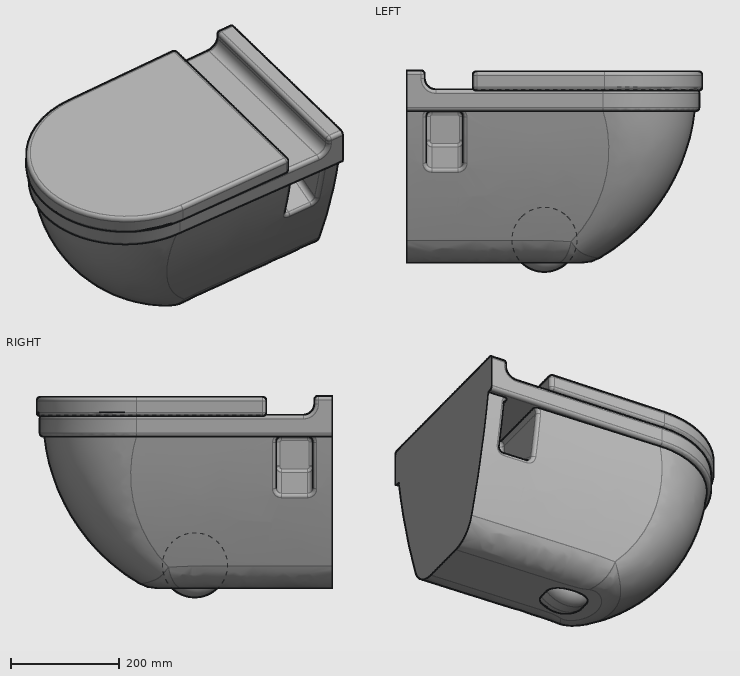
import cadquery as cq
import math


SOFT_EDGE = 7.5
CLEARANCE = 1.0
OVERALL_HEIGHT = 372.23
OVERALL_WIDTH = 373.23
OVERALL_LENGTH = 545.89

SIDE_PROFILE = ((43.4, 107.3), (146.4, 139.9), (270.0, 168.0))
TIP_PROFILE = ((43.4, 405.0), (146.4, 489.5), (270.0, 530.5))
NOSE_START_PROFILE = ((39.0, 302.5), (155.0, 366.5), (278.5, 362.5))
BODY_SECTIONS = 7
UNDERSIDE_ROUND = 63.0

RIM_BOTTOM = 279.0
RIM_TOP = 320.3
RIM_BACK_HALF = 183.0
RIM_NOSE_RADIUS = 178.3
RIM_TIP = 540.3
RIDGE_TOP = 355.0
RIDGE_DEPTH = 33.8
RIDGE_COVE = 20.0

POCKET_NEAR = 36.5
POCKET_FAR = 104.0
POCKET_ROOF = RIM_BOTTOM + 1.0
POCKET_MOUTH_HALF = 200.0
POCKET_INNER_HALF = 36.0
POCKET_INNER_FLOOR = 216.0
POCKET_FLOOR_ANGLE = 21.0
POCKET_CORNER = 10.0
POCKET_BACK_ROUND = 7.0
POCKET_MOUTH_ROUND = 7.0

TRAP_DIAMETER = 120.0
TRAP_BAND = 20.0
TRAP_SHOULDER = 55.0 / 2
TRAP_DISTANCE = 254.0
TRAP_DROP = OVERALL_HEIGHT - RIDGE_TOP

LID_HALF = OVERALL_WIDTH / 2
LID_CORNER_TRIM = 0.13
LID_NOSE_RADIUS = 184.5
LID_BACK = 121.7
LID_TIP = OVERALL_LENGTH
LID_BOTTOM = 317.0
LID_TOP = 353.3


def arc_value(profile, height):
    """Distance at a height on the circle through three (height, distance) points."""
    (z1, d1), (z2, d2), (z3, d3) = profile
    s1, s2, s3 = z1**2 + d1**2, z2**2 + d2**2, z3**2 + d3**2
    twice_area = 2 * (z1 * (d2 - d3) + z2 * (d3 - d1) + z3 * (d1 - d2))
    zc = (s1 * (d2 - d3) + s2 * (d3 - d1) + s3 * (d1 - d2)) / twice_area
    dc = (s1 * (z3 - z2) + s2 * (z1 - z3) + s3 * (z2 - z1)) / twice_area
    radius = math.hypot(z1 - zc, d1 - dc)
    return dc + math.sqrt(radius**2 - (height - zc) ** 2)


def d_outline(back_half, nose_half, nose_start, tip, height):
    """D-shaped outline: straight back on the wall, straight sides, half-elliptical nose."""
    return (
        cq.Workplane("XY", origin=(0, 0, height))
        .moveTo(-back_half, 0)
        .lineTo(-nose_half, -nose_start)
        .ellipseArc(nose_half, tip - nose_start, 180, 360, startAtCurrent=True)
        .lineTo(back_half, 0)
        .close()
    )


def make_body():
    """Tapering body below the rim, with a broad round along its underside."""
    top = (RIM_BOTTOM + RIM_TOP) / 2
    wires = []
    for i in range(BODY_SECTIONS):
        height = top * i / (BODY_SECTIONS - 1)
        half = arc_value(SIDE_PROFILE, height)
        tip = arc_value(TIP_PROFILE, height)
        nose_start = arc_value(NOSE_START_PROFILE, height)
        wires.append(d_outline(half, half, nose_start, tip, height).wire().val())
    body = cq.Workplane(cq.Solid.makeLoft(wires))
    return body.faces("<Z").edges("not >Y").fillet(UNDERSIDE_ROUND)


def make_pocket(side):
    """Cutter for one mounting pocket; side is -1 for -X and +1 for +X."""
    fall = (POCKET_MOUTH_HALF - POCKET_INNER_HALF) * math.tan(math.radians(POCKET_FLOOR_ANGLE))
    inner_x = side * POCKET_INNER_HALF
    mouth_x = side * POCKET_MOUTH_HALF
    cutter = (
        cq.Workplane("XZ", origin=(0, -POCKET_NEAR, 0))
        .moveTo(inner_x, POCKET_ROOF)
        .lineTo(mouth_x, POCKET_ROOF)
        .lineTo(mouth_x, POCKET_INNER_FLOOR - fall)
        .lineTo(inner_x, POCKET_INNER_FLOOR)
        .close()
        .extrude(POCKET_FAR - POCKET_NEAR)
    )
    inner_face = "<X" if side > 0 else ">X"
    cutter = cutter.faces("<Y or >Y").edges("not |Z").fillet(POCKET_CORNER)
    return cutter.faces(inner_face).edges().fillet(POCKET_BACK_ROUND)


def make_rim():
    """Rim slab with the raised ridge along the wall."""
    nose_start = RIM_TIP - RIM_NOSE_RADIUS
    outline = d_outline(RIM_BACK_HALF, RIM_NOSE_RADIUS, nose_start, RIM_TIP, RIM_BOTTOM)
    slab = outline.extrude(RIDGE_TOP - RIM_BOTTOM)
    cove_offset = RIDGE_COVE * (1 - math.sqrt(0.5))
    above_rim = (
        cq.Workplane("YZ", origin=(-LID_HALF, 0, 0))
        .moveTo(-RIDGE_DEPTH, RIDGE_TOP)
        .lineTo(-RIDGE_DEPTH, RIM_TOP + RIDGE_COVE)
        .threePointArc(
            (-RIDGE_DEPTH - cove_offset, RIM_TOP + cove_offset),
            (-RIDGE_DEPTH - RIDGE_COVE, RIM_TOP),
        )
        .lineTo(-LID_TIP, RIM_TOP)
        .lineTo(-LID_TIP, RIDGE_TOP)
        .close()
        .extrude(2 * LID_HALF)
    )
    rim = slab.cut(above_rim)
    rim = rim.faces("<Z").edges("not >Y").fillet(SOFT_EDGE)
    upper_edges = cq.selectors.BoxSelector(
        (-LID_HALF, -LID_TIP, RIM_TOP - CLEARANCE), (LID_HALF, -CLEARANCE, RIDGE_TOP + CLEARANCE)
    )
    crest = rim.faces(">Z").edges("<Y")
    top_edges = rim.edges(upper_edges).edges("not |X").add(crest)
    return rim.newObject(top_edges.vals()).fillet(SOFT_EDGE)


def make_trap():
    """Disc-shaped trap with rounded shoulders, lying across the mid-plane."""
    width = TRAP_BAND + 2 * TRAP_SHOULDER
    axis_height = TRAP_DIAMETER / 2 - TRAP_DROP
    disc = (
        cq.Workplane("YZ", origin=(-width / 2, -TRAP_DISTANCE, axis_height))
        .circle(TRAP_DIAMETER / 2)
        .extrude(width)
    )
    return disc.edges().fillet(TRAP_SHOULDER)


def make_bowl(trap):
    """Ceramic bowl: body with its pockets, topped by the rim, hollowed for the trap."""
    bowl = make_body()
    for side in (-1, 1):
        bowl = bowl.cut(make_pocket(side))
        mid_depth = side * (POCKET_INNER_HALF + POCKET_MOUTH_HALF) / 2
        mouth = cq.selectors.BoxSelector(
            (mid_depth, -POCKET_FAR - CLEARANCE, 0),
            (side * POCKET_MOUTH_HALF, -POCKET_NEAR + CLEARANCE, POCKET_ROOF + CLEARANCE),
            boundingbox=True,
        )
        bowl = bowl.edges(mouth).fillet(POCKET_MOUTH_ROUND)
    return bowl.union(make_rim()).cut(trap)


def make_lid(bowl):
    """Flat lid with a half-round nose, one square side and one slightly tapered side.

    Its underside is recessed where it settles over the top of the rim.
    """
    nose_x = LID_HALF - LID_NOSE_RADIUS
    nose_y = LID_NOSE_RADIUS - LID_TIP
    tapered_corner_x = -LID_HALF - LID_CORNER_TRIM
    run_x = nose_x - tapered_corner_x
    run_y = nose_y + LID_BACK
    span = math.hypot(run_x, run_y)
    turn = math.atan2(-run_y, -run_x) + math.acos(LID_NOSE_RADIUS / span)
    tangent = (
        nose_x + LID_NOSE_RADIUS * math.cos(turn),
        nose_y + LID_NOSE_RADIUS * math.sin(turn),
    )
    slab = (
        cq.Workplane("XY", origin=(0, 0, LID_BOTTOM))
        .moveTo(LID_HALF, -LID_BACK)
        .lineTo(tapered_corner_x, -LID_BACK)
        .lineTo(*tangent)
        .threePointArc((nose_x, -LID_TIP), (LID_HALF, nose_y))
        .close()
        .extrude(LID_TOP - LID_BOTTOM)
    )
    slab = slab.faces(">Y").edges("|Z").fillet(SOFT_EDGE)
    return slab.faces("<Z or >Z").edges().fillet(SOFT_EDGE).cut(bowl)


trap = make_trap()
bowl = make_bowl(trap)
lid = make_lid(bowl)
result = cq.Compound.makeCompound([bowl.val(), lid.val(), trap.val()])